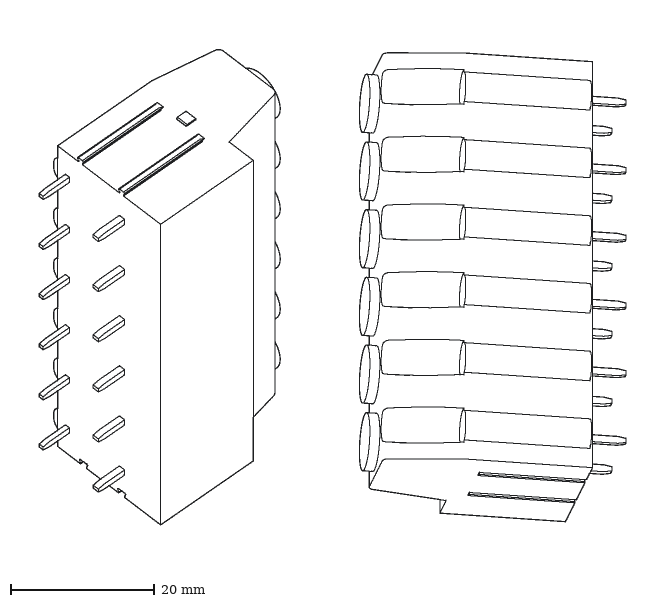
import cadquery as cq


pole_count = 6
housing_length = 60.9
housing_width = 20.85
pole_pitch = housing_length / pole_count
pole_heights = [(pole + 0.5) * pole_pitch for pole in range(pole_count)]

flank_height = 18.2
shoulder_height = 17.85
tower_height = 29.3
tower_top_left = 2.0
tower_top_right = 13.6
tower_foot_right = 16.0
tower_edge_radius = 0.9

screw_diameter = 8.15
screw_height = 1.4
screw_x = 8.7

recess_radius = 2.7
recess_x = 0.9

bead_width = 4.45
bead_flat = 1.0
bead_height = 1.2
bead_start = 0.4

pin_rows = [(1.6, 0.8), (12.5, 1.05)]
pin_length = 5.05
pin_width = 1.05
pin_tip_width = 0.6
pin_tip_length = 1.2

rib_centers = [4.6, 12.95]
rib_length = 15.35
rib_height = 0.8
rib_head_width = 1.25
rib_neck_width = 0.8
rib_foot_height = 0.2
rib_top_bevel = 0.1
rib_end_ramp = 0.6
groove_centers = [5.25, 12.95]
groove_clearance = 0.2
groove_depth = 0.85

nub_x = 8.7
nub_y = 16.5
nub_width = 2.0
nub_length = 1.85
nub_height = 0.25
nub_chamfer = 0.2


def make_housing():
    outline = [
        (0, 0),
        (housing_width, 0),
        (housing_width, shoulder_height),
        (tower_foot_right, shoulder_height),
        (tower_top_right, tower_height),
        (tower_top_left, tower_height),
        (0, flank_height),
    ]
    block = cq.Workplane("XY").polyline(outline).close().extrude(housing_length)
    top_edges = block.faces(">Y").edges("|Z")
    return top_edges.fillet(tower_edge_radius)


def make_cylinder(radius, x, z, y_start, y_end):
    """Cylinder along Y between two heights."""
    base = cq.Workplane("XZ", origin=(x, y_start, z))
    return base.circle(radius).extrude(y_start - y_end)


def make_bead(z):
    """Bead with a flat crest and two arcs tangent to it, along the straight flank."""
    arc_run = (bead_width - bead_flat) / 2
    arc_radius = (bead_height**2 + arc_run**2) / (2 * bead_height)
    profile = (
        cq.Workplane("XZ", origin=(0, bead_start, z))
        .moveTo(-bead_height, -bead_flat / 2)
        .lineTo(-bead_height, bead_flat / 2)
        .radiusArc((0, bead_width / 2), arc_radius)
        .lineTo(0, -bead_width / 2)
        .radiusArc((-bead_height, -bead_flat / 2), arc_radius)
        .close()
    )
    return profile.extrude(bead_start - flank_height)


def make_pin(x, thickness, z):
    half = pin_width / 2
    half_tip = pin_tip_width / 2
    taper_y = pin_tip_length - pin_length
    outline = [
        (0, -half),
        (taper_y, -half),
        (-pin_length, -half_tip),
        (-pin_length, half_tip),
        (taper_y, half),
        (0, half),
    ]
    return cq.Workplane("YZ", origin=(x, 0, z)).polyline(outline).close().extrude(thickness)


def make_undercut_bar(x, z, clearance, height):
    """Bar along +Y from the mounting face, rising from z, with undercut flanks and blind end."""
    neck = rib_neck_width / 2 + clearance
    head = rib_head_width / 2 + clearance
    undercut = head - neck
    head_level = height - rib_top_bevel
    section = [
        (-neck, 0),
        (neck, 0),
        (neck, rib_foot_height),
        (head, head_level),
        (neck, height),
        (-neck, height),
        (-head, head_level),
        (-neck, rib_foot_height),
    ]
    side = [
        (0, 0),
        (rib_length - undercut, 0),
        (rib_length - undercut, rib_foot_height),
        (rib_length, head_level),
        (rib_length - rib_end_ramp, height),
        (0, height),
    ]
    bar = cq.Workplane("XZ", origin=(x, 0, z)).polyline(section).close().extrude(-rib_length)
    envelope = cq.Workplane("YZ", origin=(x, 0, z)).polyline(side).close().extrude(head, both=True)
    return bar.intersect(envelope)


def make_nub():
    block = cq.Workplane("XY", origin=(nub_x, nub_y, housing_length)).box(
        nub_width, nub_length, nub_height, centered=(True, True, False)
    )
    return block.edges(">Z and <Y").chamfer(nub_chamfer)


result = make_housing()

for z in pole_heights:
    result = result.cut(make_cylinder(recess_radius, recess_x, z, flank_height, tower_height))
    result = result.union(
        make_cylinder(screw_diameter / 2, screw_x, z, tower_height, tower_height + screw_height)
    )
    result = result.union(make_bead(z))
    for pin_x, pin_thickness in pin_rows:
        result = result.union(make_pin(pin_x, pin_thickness, z))

for x in groove_centers:
    result = result.cut(make_undercut_bar(x, 0, groove_clearance, groove_depth))

for x in rib_centers:
    result = result.union(make_undercut_bar(x, housing_length, 0, rib_height))

result = result.union(make_nub())